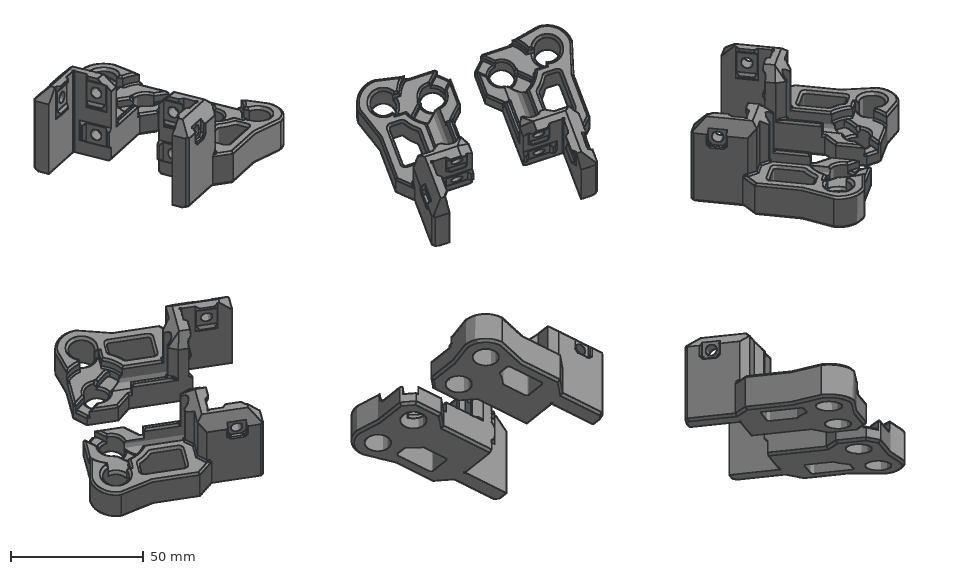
import cadquery as cq
import math

SPAN_X = 85.9
SPAN_Y = 67.0
WALL_TOP = 35.0

PLATE_TOP = 13.75
POCKET_FLOOR = 9.2
SLOT_FLOOR = 5.7

BOTTOM_CHAMFER = 1.0
EDGE_CHAMFER = 0.9
ROOT_CHAMFER = 0.7
WALL_TOP_CHAMFER = 5.0

ROD_HOLE_DIAMETER = 10.0
ROD_HOLE_RADIUS = ROD_HOLE_DIAMETER / 2
ROD_HOLE_CHAMFER = 1.1
HEAD_RADIUS = 10.05
HEAD_X = -SPAN_X / 2 + HEAD_RADIUS
HEAD_Y = SPAN_Y / 2 - HEAD_RADIUS
RIM_HOLE_X = -13.8
RIM_HOLE_Y = 21.4

FLANK_X = -38.9
FLANK_TOP_Y = 10.3
FLANK_BOTTOM_Y = -7.7
REAR_Y = 31.4
REAR_LEFT_X = -22.8
TIP_X = -5.1
TIP_REAR_Y = 26.9
TIP_FRONT_Y = 14.9
RAIL_X = -10.2
REAR_RIGHT_X = TIP_X - (REAR_Y - TIP_REAR_Y)
NECK_Y = TIP_FRONT_Y - (TIP_X - RAIL_X)

ARM_OUTER_X = -33.25
ARM_INNER_X = -26.4
ARM_END_Y = -SPAN_Y / 2
ARM_END_CHAMFER = 1.0
SEAT_Y = -13.5
WALL_BACK_Y = -8.6
WALL_THICK_BACK_Y = -5.7
WALL_CORNER_CUT = 3.0
WALL_STEP_X = -24.4
WALL_RIGHT_BEVEL_X = 1.9
WALL_RIGHT_BEVEL_Y = 3.7
CORNER_RELIEF_RADIUS = 0.4

SCREW_X = -16.5
SCREW_DIAMETER = 4.5
LOWER_SCREW_Z = 10.0
UPPER_SCREW_Z = 28.0
ARM_SCREW_Z = 28.35
UPPER_HEAD_Z = 28.6
ARM_SCREW_Y = (SEAT_Y + ARM_END_Y) / 2
HEAD_CHANNEL_DIAMETER = 7.1
HEAD_CHANNEL_RADIUS = HEAD_CHANNEL_DIAMETER / 2
HEAD_SEAT_Y = WALL_BACK_Y
KEY_REACH = 7.4
KEY_OVERRUN = 9.45
KEY_WIDTH = 8.7
KEY_HEIGHT = 1.5
KEY_SLOPE = 1.4
KEY_GAP = 8.5
KEY_GAP_FLOOR = 0.35
ARM_POCKET_SIZE = 7.2
ARM_POCKET_DEPTH = 1.8
ARM_POCKET_CORNER = 1.5
ARM_POCKET_RIM = 0.5

POCKET_RADIUS = 12.7
RAIL_END_Y = 8.5
LINK_WIDTH = 8.2
LINK_END_X = -30.85
SLOT_HALF_WIDTH = 2.9
SLOT_LENGTH = 25.8
SLOT_END_OFFSET = POCKET_RADIUS - SLOT_HALF_WIDTH

WINDOW_LEFT_X = -34.2
WINDOW_RIGHT_X = -24.2
WINDOW_TOP_Y = 13.6
WINDOW_BOTTOM_Y = -3.35
WINDOW_ARC_RADIUS = 16.75
WINDOW_FILLET = 1.0
WINDOW_CHAMFER = 1.0

OVERLAP = 0.9


def block(x0, x1, y0, y1, z0, z1):
    return cq.Workplane("XY").box(x1 - x0, y1 - y0, z1 - z0, centered=False).translate((x0, y0, z0))


def cone(x, y, low_radius, low_z, high_radius, high_z):
    """Upright truncated cone."""
    solid = cq.Solid.makeCone(low_radius, high_radius, high_z - low_z, cq.Vector(x, y, low_z))
    return cq.Workplane(obj=solid)


def rim_cone(x, y, radius, chamfer, z):
    """Cutter that breaks the rim of an upright hole whose mouth is at height z."""
    return cone(x, y, radius, z - chamfer, radius + chamfer, z)


def cylinder_y(diameter, x, z, y0, y1):
    solid = cq.Solid.makeCylinder(diameter / 2, y1 - y0, cq.Vector(x, y0, z), cq.Vector(0, 1, 0))
    return cq.Workplane(obj=solid)


def outline(mating_growth=0):
    """Plan of the whole bracket; mating_growth pushes the seat faces and the arm end outward."""
    seat_y = SEAT_Y - mating_growth
    end_y = ARM_END_Y - mating_growth
    inner_x = ARM_INNER_X + mating_growth
    middle_angle = math.radians(135)
    head_middle = (
        HEAD_X + HEAD_RADIUS * math.cos(middle_angle),
        HEAD_Y + HEAD_RADIUS * math.sin(middle_angle),
    )
    flank_corner_y = FLANK_BOTTOM_Y - (ARM_OUTER_X - FLANK_X)
    return (
        cq.Workplane("XY")
        .moveTo(HEAD_X - HEAD_RADIUS, HEAD_Y)
        .threePointArc(head_middle, (HEAD_X, HEAD_Y + HEAD_RADIUS))
        .lineTo(REAR_LEFT_X, REAR_Y)
        .lineTo(REAR_RIGHT_X, REAR_Y)
        .lineTo(TIP_X, TIP_REAR_Y)
        .lineTo(TIP_X, TIP_FRONT_Y)
        .lineTo(RAIL_X, NECK_Y)
        .lineTo(RAIL_X, seat_y)
        .lineTo(inner_x, seat_y)
        .lineTo(inner_x, end_y)
        .lineTo(ARM_OUTER_X + ARM_END_CHAMFER + mating_growth, end_y)
        .lineTo(ARM_OUTER_X, ARM_END_Y + ARM_END_CHAMFER)
        .lineTo(ARM_OUTER_X, flank_corner_y)
        .lineTo(FLANK_X, FLANK_BOTTOM_Y)
        .lineTo(FLANK_X, FLANK_TOP_Y)
        .close()
    )


def outline_prism(height):
    """Upright prism of the outline, with its bottom edge broken except along the mating faces."""
    foot = outline(BOTTOM_CHAMFER).extrude(-BOTTOM_CHAMFER, taper=45).translate((0, 0, BOTTOM_CHAMFER))
    foot = foot.intersect(outline().extrude(BOTTOM_CHAMFER))
    return foot.union(outline().extrude(height - BOTTOM_CHAMFER).translate((0, 0, BOTTOM_CHAMFER)))


def plate(height):
    """Outline prism with its top edge broken as well."""
    shoulder = height - EDGE_CHAMFER
    top = outline().extrude(EDGE_CHAMFER, taper=45).translate((0, 0, shoulder))
    return outline_prism(shoulder).union(top)


def disc(radius, z0, z1):
    """Upright cylinder about the rim hole."""
    return cq.Workplane("XY", origin=(RIM_HOLE_X, RIM_HOLE_Y, z0)).circle(radius).extrude(z1 - z0)


def pocket_cutter():
    """Full-depth cutter for the round pocket, the link to the head hole and the rail end."""
    above = PLATE_TOP + OVERLAP
    straight = POCKET_FLOOR + ROOT_CHAMFER
    chamfer_base = PLATE_TOP - EDGE_CHAMFER
    base_radius = POCKET_RADIUS - ROOT_CHAMFER
    pocket = (
        disc(base_radius, 0, POCKET_FLOOR)
        .union(cone(RIM_HOLE_X, RIM_HOLE_Y, base_radius, POCKET_FLOOR, POCKET_RADIUS, straight))
        .union(disc(POCKET_RADIUS, straight, above))
        .union(rim_cone(RIM_HOLE_X, RIM_HOLE_Y, POCKET_RADIUS, EDGE_CHAMFER, PLATE_TOP))
    )
    half = LINK_WIDTH / 2
    link = (
        cq.Workplane("YZ", origin=(LINK_END_X, RIM_HOLE_Y, 0))
        .moveTo(-half, 0)
        .lineTo(half, 0)
        .lineTo(half, chamfer_base)
        .lineTo(half + EDGE_CHAMFER, PLATE_TOP)
        .lineTo(-half - EDGE_CHAMFER, PLATE_TOP)
        .lineTo(-half, chamfer_base)
        .close()
        .extrude(RIM_HOLE_X - base_radius / 2 - LINK_END_X)
    )
    rail_end = (
        cq.Workplane("YZ", origin=(SCREW_X, 0, 0))
        .moveTo(RIM_HOLE_Y, 0)
        .lineTo(RAIL_END_Y, 0)
        .lineTo(RAIL_END_Y, chamfer_base)
        .lineTo(RAIL_END_Y - EDGE_CHAMFER, PLATE_TOP)
        .lineTo(RIM_HOLE_Y, PLATE_TOP)
        .close()
        .extrude(TIP_X - SCREW_X)
    )
    return pocket.union(link).union(rail_end)


def slot_prism(half_width, z0, z1, taper=0):
    """Round-ended slot that runs diagonally from the pocket wall out through the tip."""
    return (
        cq.Workplane("XY")
        .moveTo(-SLOT_END_OFFSET, half_width)
        .threePointArc((-SLOT_END_OFFSET - half_width, 0), (-SLOT_END_OFFSET, -half_width))
        .lineTo(SLOT_LENGTH, -half_width)
        .lineTo(SLOT_LENGTH, half_width)
        .close()
        .extrude(z1 - z0, taper=taper)
        .rotate((0, 0, 0), (0, 0, 1), 45)
        .translate((RIM_HOLE_X, RIM_HOLE_Y, z0))
    )


def slot_cutter():
    straight = slot_prism(SLOT_HALF_WIDTH, 0, POCKET_FLOOR)
    flare = slot_prism(SLOT_HALF_WIDTH, POCKET_FLOOR - EDGE_CHAMFER, POCKET_FLOOR, taper=-45)
    return straight.union(flare)


def stepped_plate():
    """Plate with the pocket and slot levels, each with its own chamfered outer edge."""
    upper = plate(PLATE_TOP).cut(pocket_cutter())
    middle = plate(POCKET_FLOOR).cut(slot_cutter())
    return upper.union(middle).union(plate(SLOT_FLOOR))


def wall_plan():
    """Plan of the tall L made by the arm and the wall."""
    thickening = WALL_THICK_BACK_Y - WALL_BACK_Y
    return (
        cq.Workplane("XY")
        .moveTo(ARM_OUTER_X, ARM_END_Y)
        .lineTo(ARM_OUTER_X, WALL_BACK_Y - WALL_CORNER_CUT)
        .lineTo(ARM_OUTER_X + WALL_CORNER_CUT, WALL_BACK_Y)
        .lineTo(WALL_STEP_X, WALL_BACK_Y)
        .lineTo(WALL_STEP_X + thickening, WALL_THICK_BACK_Y)
        .lineTo(RAIL_X - WALL_RIGHT_BEVEL_X, WALL_THICK_BACK_Y)
        .lineTo(RAIL_X, WALL_THICK_BACK_Y - WALL_RIGHT_BEVEL_Y)
        .lineTo(RAIL_X, ARM_END_Y)
        .close()
    )


def key():
    """Ramped key rising along +Z, long side along Y, with a cross groove over the screw."""
    length = KEY_REACH + KEY_OVERRUN
    middle = (KEY_OVERRUN - KEY_REACH) / 2
    ridge = (
        cq.Workplane("XY", origin=(0, middle, 0))
        .rect(KEY_WIDTH, length)
        .workplane(offset=KEY_HEIGHT)
        .rect(KEY_WIDTH - 2 * KEY_SLOPE, length - 2 * KEY_SLOPE)
        .loft(combine=True)
    )
    half_floor = KEY_GAP / 2
    half_top = half_floor + KEY_HEIGHT - KEY_GAP_FLOOR
    groove = (
        cq.Workplane("YZ")
        .moveTo(-half_floor, KEY_GAP_FLOOR)
        .lineTo(half_floor, KEY_GAP_FLOOR)
        .lineTo(half_top, KEY_HEIGHT)
        .lineTo(-half_top, KEY_HEIGHT)
        .close()
        .extrude(KEY_WIDTH, both=True)
    )
    return ridge.cut(groove)


def keys():
    """Upright keys at the upper screw and on the arm, and a level key at the lower screw."""
    facing_front = key().rotate((0, 0, 0), (1, 0, 0), 90)
    upper = facing_front.translate((SCREW_X, SEAT_Y, UPPER_SCREW_Z))
    lower = facing_front.rotate((0, 0, 0), (0, 1, 0), 90).translate((SCREW_X, SEAT_Y, LOWER_SCREW_Z))
    arm = facing_front.rotate((0, 0, 0), (0, 0, 1), 90).translate((ARM_INNER_X, ARM_SCREW_Y, ARM_SCREW_Z))
    return upper.union(lower).union(arm)


def top_envelope():
    """Volume below the large chamfers round the top of the wall and the arm."""
    shoulder = WALL_TOP - WALL_TOP_CHAMFER

    def gable(plane, low, high):
        return (
            cq.Workplane(plane)
            .moveTo(low, 0)
            .lineTo(high, 0)
            .lineTo(high, shoulder)
            .lineTo(high - WALL_TOP_CHAMFER, WALL_TOP)
            .lineTo(low + WALL_TOP_CHAMFER, WALL_TOP)
            .lineTo(low, shoulder)
            .close()
            .extrude(SPAN_X, both=True)
        )

    envelope = gable("XZ", ARM_OUTER_X, RAIL_X).intersect(gable("YZ", ARM_END_Y, WALL_THICK_BACK_Y))
    bevel_angle = math.degrees(math.atan2(WALL_RIGHT_BEVEL_X, WALL_RIGHT_BEVEL_Y))
    bevel = (
        cq.Workplane("XZ")
        .moveTo(0, shoulder)
        .lineTo(-WALL_TOP_CHAMFER, WALL_TOP)
        .lineTo(0, WALL_TOP)
        .close()
        .extrude(2 * WALL_TOP_CHAMFER, both=True)
        .rotate((0, 0, 0), (0, 0, 1), bevel_angle)
        .translate((RAIL_X, WALL_THICK_BACK_Y - WALL_RIGHT_BEVEL_Y, 0))
    )
    return envelope.cut(bevel)


def tall_wall():
    wall = wall_plan().extrude(WALL_TOP).intersect(outline_prism(WALL_TOP))
    wall = wall.union(keys()).intersect(top_envelope())
    root = (
        wall_plan()
        .offset2D(ROOT_CHAMFER, "intersection")
        .extrude(ROOT_CHAMFER, taper=45)
        .translate((0, 0, PLATE_TOP))
        .intersect(plate(PLATE_TOP + ROOT_CHAMFER))
    )
    return wall.union(root)


def corner_relief_cutter():
    """Upright groove along the inner corner between the arm and the wall."""
    corner = cq.Workplane("XY").center(ARM_INNER_X, SEAT_Y)
    return corner.circle(CORNER_RELIEF_RADIUS).extrude(WALL_TOP)


def rod_hole_cutter():
    """Both rod holes with broken rims at every level that they open on."""
    head = cq.Workplane("XY").center(HEAD_X, HEAD_Y).circle(ROD_HOLE_RADIUS).extrude(PLATE_TOP)
    rim = cq.Workplane("XY").center(RIM_HOLE_X, RIM_HOLE_Y).circle(ROD_HOLE_RADIUS).extrude(PLATE_TOP)
    half = LINK_WIDTH / 2
    link_zone = block(LINK_END_X, RIM_HOLE_X, RIM_HOLE_Y - half, RIM_HOLE_Y + half, 0, PLATE_TOP)
    head_low = rim_cone(HEAD_X, HEAD_Y, ROD_HOLE_RADIUS, ROD_HOLE_CHAMFER, POCKET_FLOOR).intersect(link_zone)
    slot_zone = slot_prism(SLOT_HALF_WIDTH, 0, SLOT_FLOOR)
    rim_low = rim_cone(RIM_HOLE_X, RIM_HOLE_Y, ROD_HOLE_RADIUS, EDGE_CHAMFER, SLOT_FLOOR).intersect(slot_zone)
    return (
        head.union(rim)
        .union(rim_cone(HEAD_X, HEAD_Y, ROD_HOLE_RADIUS, ROD_HOLE_CHAMFER, PLATE_TOP))
        .union(head_low)
        .union(rim_cone(RIM_HOLE_X, RIM_HOLE_Y, ROD_HOLE_RADIUS, EDGE_CHAMFER, POCKET_FLOOR))
        .union(rim_low)
    )


def window_cutter():
    """Window whose inner corner bulges in, concentric with the rim hole."""
    window = block(WINDOW_LEFT_X, WINDOW_RIGHT_X, WINDOW_BOTTOM_Y, WINDOW_TOP_Y, 0, PLATE_TOP)
    boss = cq.Workplane("XY").center(RIM_HOLE_X, RIM_HOLE_Y).circle(WINDOW_ARC_RADIUS).extrude(PLATE_TOP)
    window = window.cut(boss).edges("|Z").fillet(WINDOW_FILLET)
    rim = window.faces(">Z").wires().val().translate(cq.Vector(0, 0, -WINDOW_CHAMFER))
    flare = cq.Workplane("XY", origin=(0, 0, PLATE_TOP - WINDOW_CHAMFER)).newObject([rim]).toPending()
    return window.union(flare.extrude(WINDOW_CHAMFER, taper=-45))


def screw_cutter():
    """Screw holes through the wall with the head channel and counterbore behind them."""
    lower_head = cylinder_y(HEAD_CHANNEL_DIAMETER, SCREW_X, LOWER_SCREW_Z, HEAD_SEAT_Y, RIM_HOLE_Y)
    upper_head = cylinder_y(HEAD_CHANNEL_DIAMETER, SCREW_X, UPPER_HEAD_Z, HEAD_SEAT_Y, RIM_HOLE_Y)
    left = SCREW_X - HEAD_CHANNEL_RADIUS
    right = SCREW_X + HEAD_CHANNEL_RADIUS
    throat = block(left, right, HEAD_SEAT_Y, WALL_THICK_BACK_Y + ROOT_CHAMFER, LOWER_SCREW_Z, UPPER_HEAD_Z)
    cutter = lower_head.union(upper_head).union(throat)
    for z in (LOWER_SCREW_Z, UPPER_SCREW_Z):
        cutter = cutter.union(cylinder_y(SCREW_DIAMETER, SCREW_X, z, SEAT_Y - KEY_HEIGHT, HEAD_SEAT_Y))
    opening = (
        cq.Workplane("XZ", origin=(0, WALL_THICK_BACK_Y, 0))
        .moveTo(left, LOWER_SCREW_Z)
        .lineTo(right, LOWER_SCREW_Z)
        .lineTo(right, PLATE_TOP - EDGE_CHAMFER)
        .lineTo(right + EDGE_CHAMFER, PLATE_TOP)
        .lineTo(left - EDGE_CHAMFER, PLATE_TOP)
        .lineTo(left, PLATE_TOP - EDGE_CHAMFER)
        .close()
        .extrude(WALL_THICK_BACK_Y - RIM_HOLE_Y)
    )
    return cutter.union(opening)


def arm_screw_cutter():
    """Screw hole through the arm with a flat-topped head pocket on the outside."""

    def recess(half):
        corner = half - ARM_POCKET_CORNER
        return (
            cq.Workplane("YZ", origin=(ARM_OUTER_X, ARM_SCREW_Y, ARM_SCREW_Z))
            .moveTo(-half, half)
            .lineTo(-half, -corner)
            .lineTo(-corner, -half)
            .lineTo(corner, -half)
            .lineTo(half, -corner)
            .lineTo(half, half)
            .close()
        )

    half_size = ARM_POCKET_SIZE / 2
    below_shoulder = block(ARM_OUTER_X, ARM_INNER_X, ARM_END_Y, SEAT_Y, 0, WALL_TOP - WALL_TOP_CHAMFER)
    floor = recess(half_size).extrude(ARM_POCKET_DEPTH)
    rim = recess(half_size + ARM_POCKET_RIM).extrude(ARM_POCKET_RIM, taper=45).intersect(below_shoulder)
    hole = (
        cq.Workplane("YZ", origin=(ARM_OUTER_X, ARM_SCREW_Y, ARM_SCREW_Z))
        .circle(SCREW_DIAMETER / 2)
        .extrude(ARM_INNER_X - ARM_OUTER_X + KEY_HEIGHT)
    )
    return hole.union(floor).union(rim)


def build_bracket():
    """Left bracket as one solid."""
    bracket = stepped_plate().union(tall_wall())
    cutters = (
        corner_relief_cutter(),
        rod_hole_cutter(),
        window_cutter(),
        screw_cutter(),
        arm_screw_cutter(),
    )
    for cutter in cutters:
        bracket = bracket.cut(cutter)
    return bracket


left_bracket = build_bracket()
right_bracket = left_bracket.mirror("YZ")
result = cq.Compound.makeCompound([left_bracket.val(), right_bracket.val()])